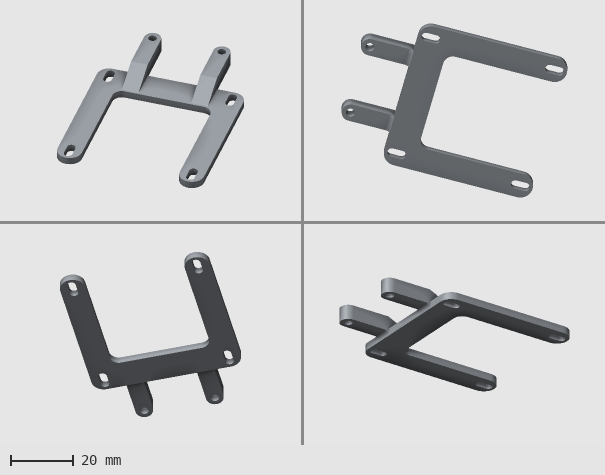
import cadquery as cq

plate_size = 49.13
plate_thickness = 2.5
leg_width = 8.13
bridge_width = 10.16
inner_corner_radius = 3.175
outer_corner_radius = leg_width / 2

hole_diameter = 2.79
slot_length = 6.05
slot_spacing = plate_size - leg_width

arm_width = 2 * hole_diameter
arm_spacing = 23.24
arm_overhang = 16.51
arm_top = 6.91
arm_thickness = 5.08
arm_bottom = arm_top - arm_thickness
ramp_length = 9.6
underside_fillet = 1.52

back_edge = plate_size / 2
arm_tip = back_edge + arm_overhang
arm_end_radius = arm_width / 2


def make_plate():
    """U-shaped plate with rounded outer corners and fully rounded leg ends."""
    half = plate_size / 2
    inner_x = half - leg_width
    inner_y = half - bridge_width
    leg_end_y = outer_corner_radius - half
    leg_x = slot_spacing / 2
    outline = (
        cq.Workplane("XY")
        .moveTo(-half, leg_end_y)
        .lineTo(-half, half)
        .lineTo(half, half)
        .lineTo(half, leg_end_y)
        .threePointArc((leg_x, -half), (inner_x, leg_end_y))
        .lineTo(inner_x, inner_y)
        .lineTo(-inner_x, inner_y)
        .lineTo(-inner_x, leg_end_y)
        .threePointArc((-leg_x, -half), (-half, leg_end_y))
        .close()
    )
    plate = outline.extrude(plate_thickness)
    plate = plate.edges("|Z and >Y").fillet(outer_corner_radius)
    inner_corners = cq.selectors.BoxSelector(
        (-half, inner_y - inner_corner_radius, 0),
        (half, inner_y + inner_corner_radius, plate_thickness),
    )
    return plate.edges("|Z").edges(inner_corners).fillet(inner_corner_radius)


def make_arm(center_x):
    """Arm with a ramp down onto the plate, a filleted underside and a rounded, drilled tip."""
    hole_y = arm_tip - arm_end_radius
    body = (
        cq.Workplane("YZ")
        .workplane(offset=center_x - arm_width / 2)
        .moveTo(hole_y, arm_top)
        .lineTo(back_edge, arm_top)
        .lineTo(back_edge - ramp_length, plate_thickness)
        .lineTo(back_edge - ramp_length, arm_bottom)
        .lineTo(back_edge, arm_bottom)
        .lineTo(back_edge, arm_bottom - underside_fillet)
        .radiusArc((back_edge + underside_fillet, arm_bottom), underside_fillet)
        .lineTo(hole_y, arm_bottom)
        .close()
        .extrude(arm_width)
    )
    tip_plane = cq.Workplane("XY", origin=(center_x, hole_y, arm_bottom))
    tip = tip_plane.circle(arm_end_radius).extrude(arm_thickness)
    hole = tip_plane.circle(hole_diameter / 2).extrude(arm_thickness)
    return body.union(tip).cut(hole)


def make_slots():
    """Cutters for the four through slots."""
    return (
        cq.Workplane("XY")
        .rect(slot_spacing, slot_spacing, forConstruction=True)
        .vertices()
        .slot2D(slot_length, hole_diameter, 90)
        .extrude(plate_thickness)
    )


result = make_plate().cut(make_slots())
for side in (-1, 1):
    result = result.union(make_arm(side * arm_spacing / 2))